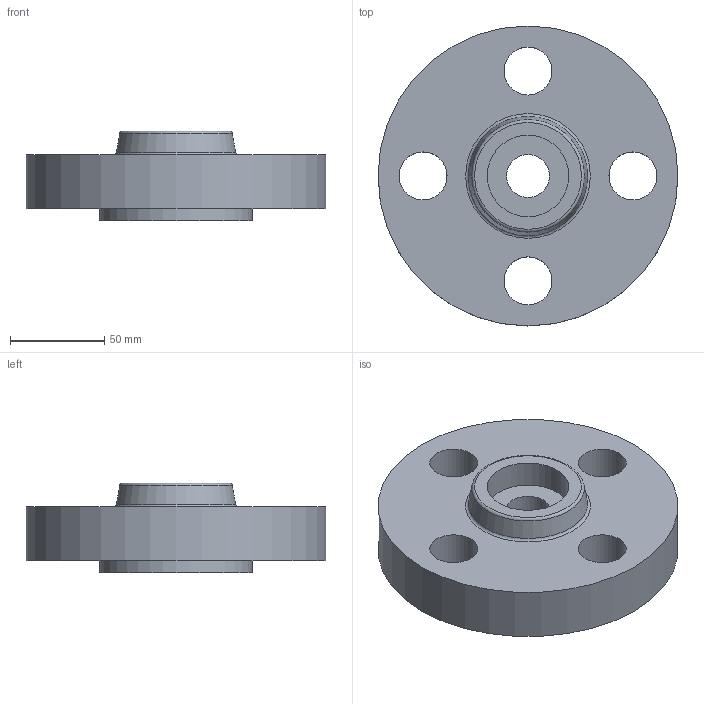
import cadquery as cq
import math

flange_diameter = 158.75
flange_thickness = 28.6
raised_face_diameter = 81.0
raised_face_height = 6.4
total_height = 47.5

hub_base_diameter = 63.5
hub_draft_angle = 10.0
hub_top_fillet = 1.5
hub_root_fillet = 1.5

socket_diameter = 43.2
socket_depth = 14.3
bore_diameter = 22.7

bolt_circle_diameter = 111.1
bolt_hole_diameter = 25.4
bolt_hole_count = 4

flange_top = raised_face_height + flange_thickness
hub_height = total_height - flange_top
hub_base_radius = hub_base_diameter / 2
hub_top_radius = hub_base_radius - hub_height * math.tan(math.radians(hub_draft_angle))


def make_body():
    """Revolve the solid outline: raised face, flange disc and tapered hub."""
    outline = (
        cq.Workplane("XZ")
        .lineTo(raised_face_diameter / 2, 0)
        .lineTo(raised_face_diameter / 2, raised_face_height)
        .lineTo(flange_diameter / 2, raised_face_height)
        .lineTo(flange_diameter / 2, flange_top)
        .lineTo(hub_base_radius, flange_top)
        .lineTo(hub_top_radius, total_height)
        .lineTo(0, total_height)
        .close()
    )
    return outline.revolve(360, (0, 0, 0), (0, 1, 0))


def round_hub(body):
    """Round the hub's top rim and the corner where it meets the flange."""
    body = body.faces(">Z").edges().fillet(hub_top_fillet)
    root_reach = hub_base_radius + hub_root_fillet
    root = cq.selectors.BoxSelector(
        (-root_reach, -root_reach, flange_top - hub_root_fillet),
        (root_reach, root_reach, flange_top + hub_root_fillet),
        boundingbox=True,
    )
    return body.edges(root).fillet(hub_root_fillet)


def cut_socket_and_bore(body):
    """Cut the pipe socket from the hub top and the bore through the part."""
    socket_floor = cq.Workplane("XY").workplane(offset=total_height - socket_depth)
    socket = socket_floor.circle(socket_diameter / 2).extrude(socket_depth)
    bore = cq.Workplane("XY").circle(bore_diameter / 2).extrude(total_height)
    return body.cut(socket).cut(bore)


def cut_bolt_holes(body):
    """Cut the evenly spaced bolt holes, the first on the +X axis."""
    holes = (
        cq.Workplane("XY")
        .polarArray(bolt_circle_diameter / 2, 0, 360, bolt_hole_count)
        .circle(bolt_hole_diameter / 2)
        .extrude(total_height)
    )
    return body.cut(holes)


body = round_hub(make_body())
body = cut_socket_and_bore(body)
result = cut_bolt_holes(body)